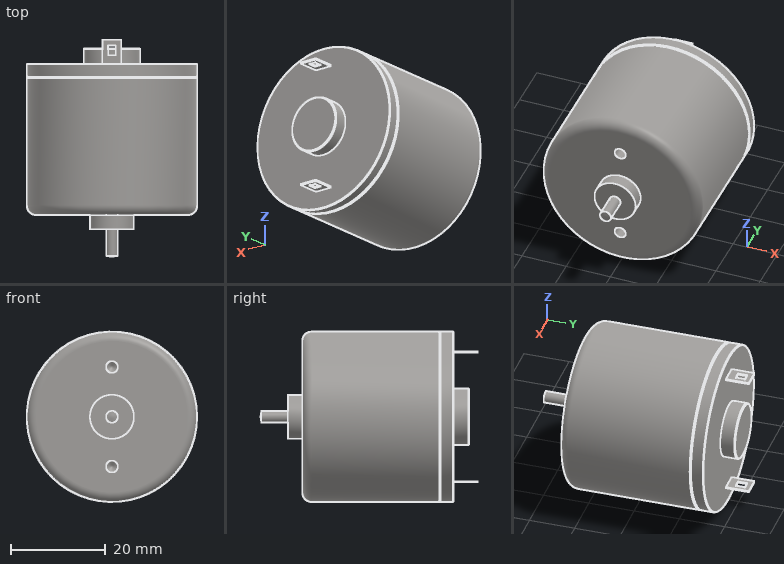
import cadquery as cq


body_diameter = 36.0
body_length = 31.95
front_fillet = 2.0
rear_chamfer = 0.15
cap_length = 2.75
groove_width = 0.3
groove_diameter = 35.6

front_boss_diameter = 9.3
front_boss_length = 3.0
rear_boss_diameter = 12.0
rear_boss_length = 3.25
rear_boss_chamfer = 0.2

shaft_diameter = 2.5
shaft_reach = 8.8
shaft_tip_height = 0.2

mount_hole_diameter = 2.5
mount_hole_spacing = 21.0
mount_hole_depth = 3.0
mount_hole_cone_height = 0.75

terminal_width = 4.0
terminal_length = 5.05
terminal_thickness = 0.3
terminal_offset = 13.7
terminal_slot_width = 1.6
terminal_slot_length = 2.0
terminal_slot_end_margin = 1.25

seat_depth = 1.0

groove_cutter_margin = 1.0


def cylinder_along_y(diameter, start, end):
    """Solid cylinder on the Y axis between two Y positions."""
    plane = cq.Workplane("XZ", origin=(0, end, 0))
    return plane.circle(diameter / 2).extrude(end - start)


def make_body():
    """Can with a rounded front rim, a chamfered rear rim and the seam groove of the cap."""
    body = cylinder_along_y(body_diameter, 0, body_length)
    body = body.faces("<Y").edges().fillet(front_fillet)
    body = body.faces(">Y").edges().chamfer(rear_chamfer)
    groove_end = body_length - cap_length
    groove_start = groove_end - groove_width
    groove = cylinder_along_y(body_diameter + groove_cutter_margin, groove_start, groove_end)
    groove = groove.cut(cylinder_along_y(groove_diameter, groove_start, groove_end))
    return body.cut(groove)


def make_front_boss():
    return cylinder_along_y(front_boss_diameter, -front_boss_length, seat_depth)


def make_rear_boss():
    boss_end = body_length + rear_boss_length
    boss = cylinder_along_y(rear_boss_diameter, body_length - seat_depth, boss_end)
    return boss.faces(">Y").edges().chamfer(rear_boss_chamfer)


def make_shaft():
    """Shaft revolved about Y, ending in a shallow cone."""
    radius = shaft_diameter / 2
    profile = cq.Workplane("XY").polyline(
        [
            (0, seat_depth),
            (radius, seat_depth),
            (radius, shaft_tip_height - shaft_reach),
            (0, -shaft_reach),
        ]
    )
    return profile.close().revolve(360, (0, 0, 0), (0, 1, 0))


def make_mount_hole(z):
    """Cutter for one drilled hole in the front face."""
    radius = mount_hole_diameter / 2
    profile = cq.Workplane("XY", origin=(0, 0, z)).polyline(
        [
            (0, 0),
            (radius, 0),
            (radius, mount_hole_depth),
            (0, mount_hole_depth + mount_hole_cone_height),
        ]
    )
    return profile.close().revolve(360, (0, 0, 0), (0, 1, 0))


def make_terminal(z):
    """Flat tab at the rear, pierced by a rectangular slot."""
    terminal_end = body_length + terminal_length
    tab_length = terminal_length + seat_depth
    tab_center = terminal_end - tab_length / 2
    slot_center = terminal_end - terminal_slot_end_margin - terminal_slot_length / 2
    tab = cq.Workplane("XY").box(terminal_width, tab_length, terminal_thickness)
    slot = cq.Workplane("XY").box(terminal_slot_width, terminal_slot_length, 2 * terminal_thickness)
    tab = tab.translate((0, tab_center, z))
    return tab.cut(slot.translate((0, slot_center, z)))


result = make_body().union(make_front_boss()).union(make_rear_boss()).union(make_shaft())
for side in (-1, 1):
    result = result.union(make_terminal(side * terminal_offset))
    result = result.cut(make_mount_hole(side * mount_hole_spacing / 2))